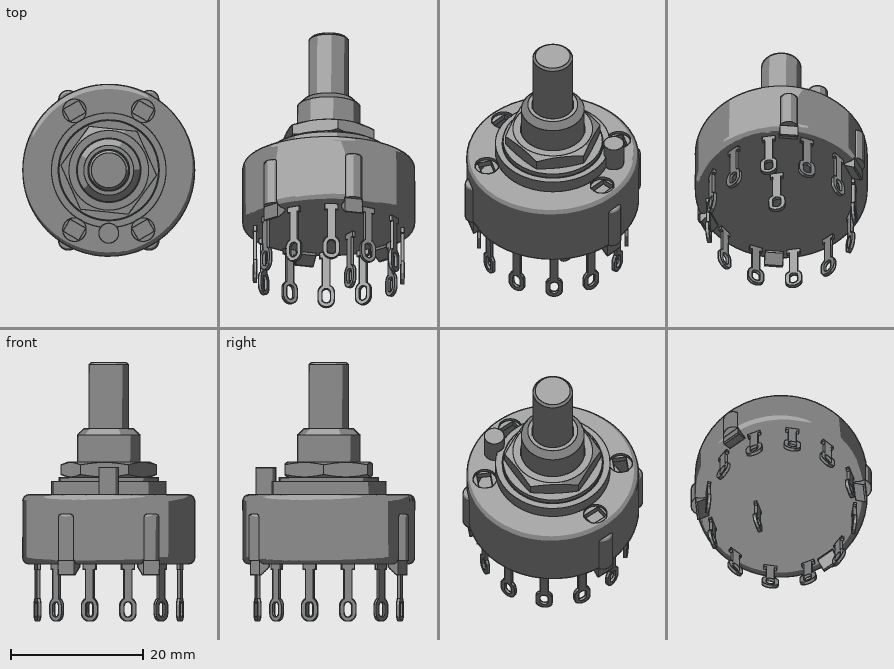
import cadquery as cq
import math


total_height = 39.1

body_dia = 26.0
body_flat_dia = 24.0
body_height = 10.5
body_round = (body_dia - body_flat_dia) / 2
cavity_dia = 24.0
cavity_floor = 2.0
cap_thickness = 1.35

boss_dia = 17.33
boss_top = body_height + 2.0
groove_dia = 15.3
groove_depth = 0.1
washer_dia = 15.0
washer_top = boss_top + 0.6
nut_across_flats = 12.6
nut_face_dia = 12.05
nut_hole_dia = 9.75
nut_height = 2.4
nut_chamfer_height = 0.45
nut_turn = -6

bushing_dia = 9.5
bushing_top = 20.45
bushing_chamfer = 0.98
bushing_bore_dia = 6.35
bushing_bore_depth = 0.98
shaft_dia = 6.0
shaft_top = bushing_top + 10.0
shaft_chamfer = 0.35

peg_dia = 3.0
peg_top = 14.55
peg_y = -9.5

latch_angles = (60, 120, 240, 300)
rib_dia = 2.95
rib_radius = 12.25
rib_bottom = 0.5
rib_top = 7.55
rib_round = 0.45
hook_width = 2.78
hook_outer_radius = 12.85
hook_depth = 1.72
hook_tip_depth = 0.27
hook_bottom = -1.65
hook_slope_top = -0.43
window_radius = 10.35
window_dia = 3.55
window_recess = 0.45
slot_width = 2.75
slot_depth = 2.1

terminal_count = 12
terminal_start_angle = 15
terminal_radius = 11.15
common_terminal_angle = 225
common_terminal_radius = 3.85
terminal_length = total_height - shaft_top
terminal_thickness = 0.45
stem_width = 1.2
shoulder_width = 2.0
shoulder_length = 0.82
eyelet_width = 2.5
eyelet_hole_width = 1.25
eyelet_straight = 1.05
terminal_embed = 0.4


def disc(diameter, bottom, top):
    """Upright cylinder on the shaft axis."""
    return cq.Workplane("XY").workplane(offset=bottom).circle(diameter / 2).extrude(top - bottom)


def place(part, radius, angle):
    """Move a part out along X, then turn it about the shaft axis."""
    return part.translate((radius, 0, 0)).rotate((0, 0, 0), (0, 0, 1), angle)


def housing():
    """Rounded housing with the mounting boss and the locating peg."""
    body = disc(body_dia, 0, body_height).edges().fillet(body_round)
    boss = disc(boss_dia, body_height - body_round, boss_top)
    groove = disc(groove_dia, boss_top - groove_depth, boss_top)
    peg = disc(peg_dia, body_height - body_round, peg_top).translate((0, peg_y, 0))
    return body.union(boss).cut(groove).union(peg)


def nut():
    """Hexagon nut with a small gap around the bushing."""
    corner_radius = nut_across_flats / 2 / math.cos(math.pi / 6)
    hexagon = cq.Workplane("XY").polygon(6, 2 * corner_radius).extrude(nut_height)
    envelope = (
        cq.Workplane("XZ")
        .moveTo(0, 0)
        .lineTo(nut_face_dia / 2, 0)
        .lineTo(corner_radius, nut_chamfer_height)
        .lineTo(corner_radius, nut_height - nut_chamfer_height)
        .lineTo(nut_face_dia / 2, nut_height)
        .lineTo(0, nut_height)
        .close()
        .revolve(360, (0, 0, 0), (0, 1, 0))
    )
    blank = hexagon.intersect(envelope).rotate((0, 0, 0), (0, 0, 1), nut_turn)
    return blank.cut(disc(nut_hole_dia, 0, nut_height)).translate((0, 0, washer_top))


def bushing_and_shaft():
    """Chamfered bushing with a shallow counterbore around the shaft."""
    bushing = disc(bushing_dia, body_height, bushing_top).faces(">Z").chamfer(bushing_chamfer)
    bore = disc(bushing_bore_dia, bushing_top - bushing_bore_depth, bushing_top)
    shaft = disc(shaft_dia, body_height, shaft_top).faces(">Z").chamfer(shaft_chamfer)
    return bushing.cut(bore).union(shaft)


def latch():
    """Rib and hook of one latch, drawn in the +X direction."""
    rib = (
        disc(rib_dia, rib_bottom, rib_top)
        .faces(">Z")
        .fillet(rib_round)
        .translate((rib_radius, 0, 0))
    )
    hook_inner_radius = hook_outer_radius - hook_depth
    hook = (
        cq.Workplane("XZ")
        .moveTo(hook_outer_radius, rib_bottom)
        .lineTo(hook_outer_radius, hook_bottom)
        .lineTo(hook_outer_radius - hook_tip_depth, hook_bottom)
        .lineTo(hook_inner_radius, hook_slope_top)
        .lineTo(hook_inner_radius, rib_bottom)
        .close()
        .extrude(hook_width / 2, both=True)
    )
    return rib.union(hook)


def window():
    """Round recess with a rectangular slot through the rest of the cap."""
    recess = disc(window_dia, body_height - window_recess, body_height)
    slot = (
        cq.Workplane("XY")
        .workplane(offset=body_height - cap_thickness)
        .rect(slot_depth, slot_width)
        .extrude(cap_thickness)
    )
    return recess.union(slot)


def terminal():
    """Flat terminal with an eyelet at its lower end, its faces square to X."""
    eyelet_length = eyelet_straight + eyelet_width
    eyelet_middle = -terminal_length + eyelet_length / 2
    hole_length = eyelet_straight + eyelet_hole_width

    def strip(width, bottom):
        height = terminal_embed - bottom
        return (
            cq.Workplane("YZ")
            .center(0, bottom + height / 2)
            .rect(width, height)
            .extrude(terminal_thickness / 2, both=True)
        )

    def eyelet(length, width):
        return (
            cq.Workplane("YZ")
            .center(0, eyelet_middle)
            .slot2D(length, width, 90)
            .extrude(terminal_thickness / 2, both=True)
        )

    blade = strip(stem_width, eyelet_middle).union(strip(shoulder_width, -shoulder_length))
    return blade.union(eyelet(eyelet_length, eyelet_width)).cut(eyelet(hole_length, eyelet_hole_width))


result = housing().union(disc(washer_dia, boss_top - groove_depth, washer_top))
result = result.union(nut()).union(bushing_and_shaft())

for angle in latch_angles:
    result = result.union(place(latch(), 0, angle)).cut(place(window(), window_radius, angle))

result = result.cut(disc(cavity_dia, cavity_floor, body_height - cap_thickness))

for index in range(terminal_count):
    turn = terminal_start_angle + index * 360 / terminal_count
    result = result.union(place(terminal(), terminal_radius, turn))
result = result.union(place(terminal(), common_terminal_radius, common_terminal_angle))